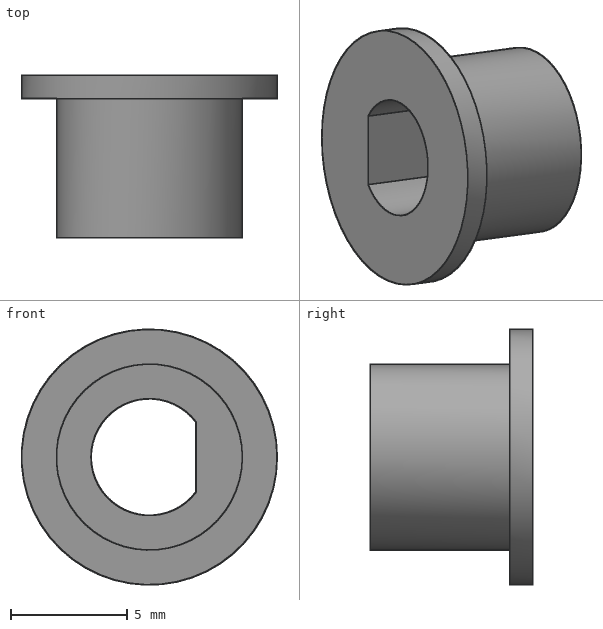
import cadquery as cq

flange_diameter = 11.0
flange_thickness = 1.0
barrel_diameter = 8.0
total_length = 7.0
bore_diameter = 5.0
flat_offset = 2.0



def cylinder_along_y(diameter, start, length):
    """Solid cylinder about the Y axis, growing from start toward +Y."""
    plane = cq.Workplane("XZ", origin=(0, start, 0))
    return plane.circle(diameter / 2).extrude(-length)


def d_shaped_bore():
    """Through bore: a cylinder cut off by one flat."""
    cylinder = cylinder_along_y(bore_diameter, 0, total_length)
    bore_radius = bore_diameter / 2
    keep_width = bore_radius + flat_offset
    keep_block = cq.Workplane("XY").box(
        keep_width, total_length, bore_diameter, centered=(False, False, True)
    )
    return cylinder.intersect(keep_block.translate((-bore_radius, 0, 0)))


barrel = cylinder_along_y(barrel_diameter, 0, total_length)
flange_start = total_length - flange_thickness
flange = cylinder_along_y(flange_diameter, flange_start, flange_thickness)

result = barrel.union(flange).cut(d_shaped_bore())